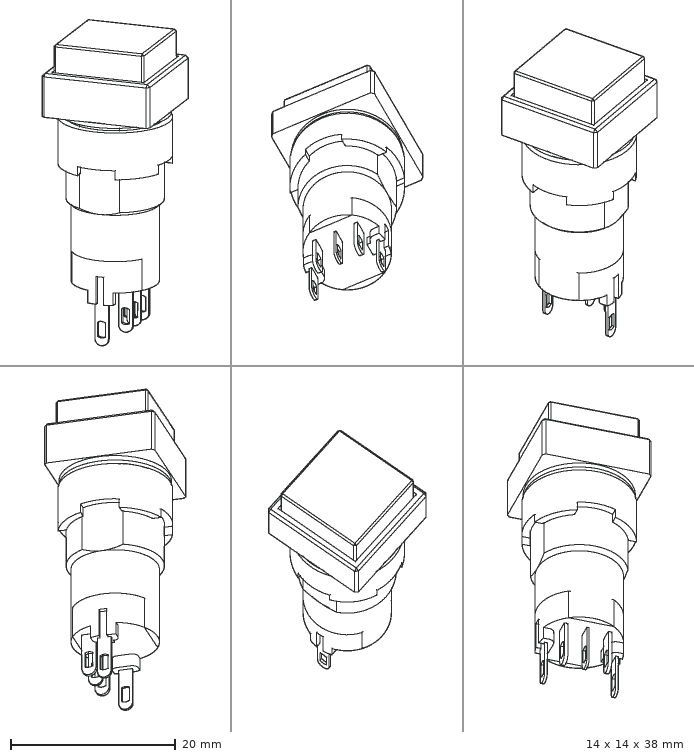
import cadquery as cq


cap_top = 9.6
bezel_top = 6.1
opening_floor = 1.6
bezel_bottom = 0.6
nut_top = -0.55
nut_bottom = -6.5
barrel_bottom = -11.5
block_top = -17.4
rear_bottom = -21.4
foot_bottom = -23.0
short_pin_bottom = -26.9
long_pin_bottom = -28.4

cap_width = 11.7
cap_chamfer = 0.25

bezel_width = 14.0
bezel_chamfer = 0.35
opening_width = 12.0
flange_radius = 6.85
barrel_radius = 6.0
barrel_lead_in = 0.5
rear_radius = 5.4

nut_radius = 7.0
nut_notch_width = 4.9
nut_notch_height = 1.15

block_width = 9.1
foot_width = 3.3
foot_inner_y = 3.6
foot_round = 0.8
foot_rib_inner_y = 3.1
pin_groove_width = 1.0
pin_groove_top = -19.45

long_pin_width = 1.75
long_pin_thickness = 0.35
long_pin_y = 4.57
short_pin_width = 1.8
short_pin_x = 2.47
outer_short_pin_y = 2.82
outer_short_pin_thickness = 0.45
middle_short_pin_thickness = 0.3
eye_width = 1.0
eye_length = 2.1
eye_to_tip = 1.0
eye_end_rise = 0.15


def disc(radius, bottom, top):
    """Cylinder on the button axis between two heights."""
    return cq.Workplane("XY").workplane(offset=bottom).circle(radius).extrude(top - bottom)


def block(width, depth, bottom, top):
    """Box centred on the button axis between two heights."""
    return cq.Workplane("XY").workplane(offset=bottom).rect(width, depth).extrude(top - bottom)


def make_cap():
    cap = block(cap_width, cap_width, opening_floor, cap_top)
    return cap.edges("|Z or >Z").chamfer(cap_chamfer)


def make_bezel():
    bezel = block(bezel_width, bezel_width, bezel_bottom, bezel_top)
    bezel = bezel.edges("|Z or >Z").chamfer(bezel_chamfer)
    return bezel.cut(block(opening_width, opening_width, opening_floor, bezel_top))


def make_barrel():
    """Round barrel with a tapered lower end and a flat on the -Y and +Y sides."""
    barrel = disc(barrel_radius, barrel_bottom, 0)
    barrel = barrel.faces("<Z").chamfer(barrel_lead_in, barrel_radius - rear_radius)
    return barrel.intersect(block(2 * barrel_radius, 2 * rear_radius, barrel_bottom, 0))


def make_housing():
    housing = make_bezel().union(disc(flange_radius, 0, bezel_bottom))
    housing = housing.union(make_barrel()).union(disc(rear_radius, rear_bottom, barrel_bottom))
    return housing.cut(block(block_width, 2 * rear_radius, rear_bottom, block_top))


def make_nut():
    """Ring with a notch across its lower end on each of the four sides."""
    nut = disc(nut_radius, nut_bottom, nut_top).cut(disc(barrel_radius, nut_bottom, nut_top))
    notch_top = nut_bottom + nut_notch_height
    nut = nut.cut(block(2 * nut_radius, nut_notch_width, nut_bottom, notch_top))
    return nut.cut(block(nut_notch_width, 2 * nut_radius, nut_bottom, notch_top))


def make_pin(x, y, width, thickness, tip):
    """Flat pin across Y with a round tip and a long eye, reaching up to the top of the block."""
    half_width = width / 2
    half_eye = eye_width / 2
    eye_bottom = tip + eye_to_tip
    eye_top = eye_bottom + eye_length
    blade = (
        cq.Workplane("XZ", origin=(x, y, 0))
        .moveTo(-half_width, block_top)
        .lineTo(-half_width, tip + half_width)
        .threePointArc((0, tip), (half_width, tip + half_width))
        .lineTo(half_width, block_top)
        .close()
        .extrude(thickness / 2, both=True)
    )
    eye = (
        cq.Workplane("XZ", origin=(x, y, 0))
        .moveTo(-half_eye, eye_bottom + eye_end_rise)
        .threePointArc((0, eye_bottom), (half_eye, eye_bottom + eye_end_rise))
        .lineTo(half_eye, eye_top - eye_end_rise)
        .threePointArc((0, eye_top), (-half_eye, eye_top - eye_end_rise))
        .close()
        .extrude(thickness, both=True)
    )
    return blade.cut(eye)


def make_foot(side):
    """Foot below the block on one side, rounded on its inner corners; side is -1 or 1."""
    depth = rear_radius - foot_inner_y
    foot = (
        cq.Workplane("XY", origin=(0, side * (foot_inner_y + depth / 2), foot_bottom))
        .rect(foot_width, depth)
        .extrude(block_top - foot_bottom)
    )
    inner_edges = "|Z and >Y" if side < 0 else "|Z and <Y"
    foot = foot.edges(inner_edges).fillet(foot_round)
    return foot.intersect(disc(rear_radius, foot_bottom, block_top))


def make_foot_rib():
    """Rib on the inner face of the +Y foot, between its rounded corners."""
    depth = foot_inner_y - foot_rib_inner_y
    return (
        cq.Workplane("XY", origin=(0, foot_rib_inner_y + depth / 2, foot_bottom))
        .rect(foot_width - 2 * foot_round, depth)
        .extrude(block_top - foot_bottom)
    )


def make_pin_groove(side):
    """Groove that opens the outer face of a long pin."""
    pin_face = long_pin_y + long_pin_thickness / 2
    depth = rear_radius - pin_face
    return (
        cq.Workplane("XY", origin=(0, side * (pin_face + depth / 2), foot_bottom))
        .rect(pin_groove_width, depth)
        .extrude(pin_groove_top - foot_bottom)
    )


def make_contact_block():
    body = disc(rear_radius, rear_bottom, block_top)
    body = body.intersect(block(block_width, 2 * rear_radius, rear_bottom, block_top))
    body = body.union(make_foot_rib())
    for side in (-1, 1):
        body = body.union(make_foot(side)).cut(make_pin_groove(side))
        body = body.union(
            make_pin(0, side * long_pin_y, long_pin_width, long_pin_thickness, long_pin_bottom)
        )
        body = body.union(
            make_pin(
                short_pin_x,
                side * outer_short_pin_y,
                short_pin_width,
                outer_short_pin_thickness,
                short_pin_bottom,
            )
        )
    return body.union(
        make_pin(short_pin_x, 0, short_pin_width, middle_short_pin_thickness, short_pin_bottom)
    )


cap = make_cap()
housing = make_housing()
nut = make_nut()
contact_block = make_contact_block()

result = cq.Compound.makeCompound([cap.val(), housing.val(), nut.val(), contact_block.val()])